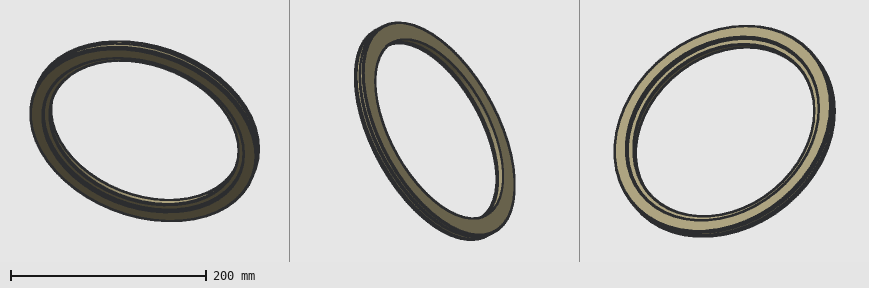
import cadquery as cq
import math

outer_radius = 120.0
bore_radius = 100.3
recess_radius = 106.3
thickness = 12.0
recess_depth = 3.4
edge_chamfer = 0.7

land_length = 2.0
back_bore_radius = 100.8

groove_radius = 2.2
groove_bottom_from_front = 5.0
groove_width = 4.8

front = -thickness / 2
back = thickness / 2
land_back = front + recess_depth + land_length
groove_bottom_y = front + groove_bottom_from_front
groove_front = groove_bottom_y - groove_radius


def ring_blank():
    """Flat ring with both outer edges chamfered."""
    ring = cq.Workplane("XZ", origin=(0, back, 0)).circle(outer_radius).extrude(thickness)
    ring = ring.faces("<Y or >Y").edges().chamfer(edge_chamfer)
    bore = cq.Workplane("XZ", origin=(0, back, 0)).circle(bore_radius).extrude(thickness)
    return ring.cut(bore)


def front_recess():
    """Stepped counterbore whose mouth is chamfered at the front face."""
    profile = (
        cq.Workplane("XY")
        .moveTo(0, front)
        .lineTo(recess_radius + edge_chamfer, front)
        .lineTo(recess_radius, front + edge_chamfer)
        .lineTo(recess_radius, front + recess_depth)
        .lineTo(0, front + recess_depth)
        .close()
    )
    return profile.revolve(360, (0, 0, 0), (0, 1, 0))


def back_counterbore():
    """Slightly wider bore from the back face up to the land."""
    depth = back - land_back
    return cq.Workplane("XZ", origin=(0, back, 0)).circle(back_bore_radius).extrude(depth)


def clamp_groove():
    """Groove around the rim: quarter-round at the front, sloping out at the back."""
    profile = (
        cq.Workplane("XY")
        .moveTo(outer_radius, groove_front)
        .lineTo(outer_radius, groove_front + groove_width)
        .lineTo(outer_radius - groove_radius, groove_bottom_y)
        .threePointArc(
            (
                outer_radius - groove_radius * math.cos(math.radians(45)),
                groove_bottom_y - groove_radius * math.sin(math.radians(45)),
            ),
            (outer_radius, groove_front),
        )
        .close()
    )
    return profile.revolve(360, (0, 0, 0), (0, 1, 0))


result = ring_blank().cut(front_recess()).cut(back_counterbore()).cut(clamp_groove())